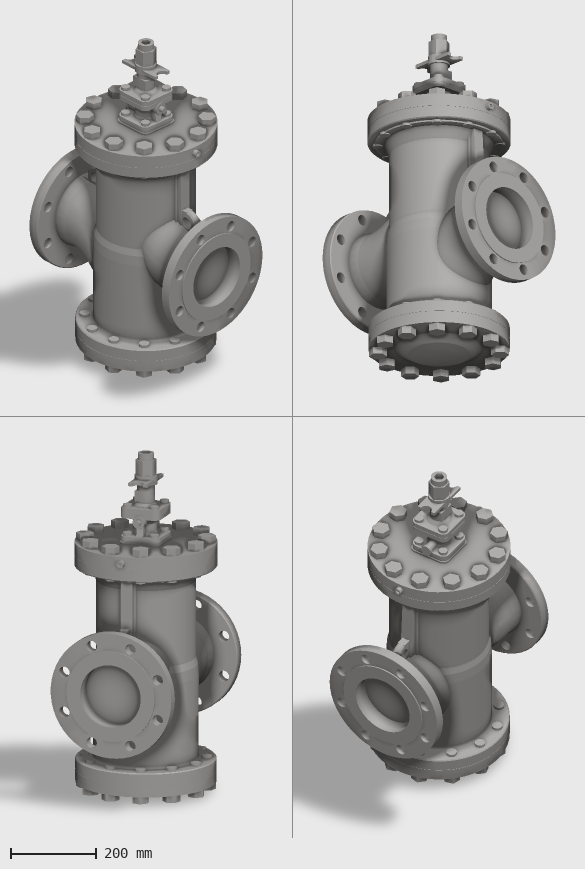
import cadquery as cq
import math

height = 810.0
bottom_cover_z = 22.0
bottom_joint_z = 50.0
bottom_flange_top_z = 79.0
body_wide_top_z = 279.5
body_flare_mid_z = 304.5
body_narrow_z = 321.5
body_neck_z = 506.0
top_flange_low_z = 539.0
top_joint_z = 567.0
top_cover_z = 598.0

wide_radius = 123.0
flare_mid_radius = 121.5
narrow_radius = 117.0
neck_radius = 127.0
top_flange_d = 334.0
bottom_flange_d = 330.0
joint_groove = 1.0
face_d = 300.0
face_height = 4.0
root_fillet = 6.5
rim_chamfer = 2.5
dome_radius = 73.0
dome_edge_z = 8.0
dome_base_radius = 101.0

bolt_count = 12
bolt_circle_radius = 142.5
bolt_head_d = 42.0
bolt_head_height = 17.0
bolt_end_d = 24.0
bolt_end_height = 6.5

nozzle_span = 480.0
nozzle_z = 280.0
nozzle_flange_d = 300.0
nozzle_flange_thickness = 27.0
nozzle_face_d = 218.0
nozzle_face_height = 3.0
bore_d = 150.0
bore_depth = 40.5
nozzle_hole_count = 8
nozzle_hole_circle_radius = 125.5
nozzle_hole_d = 26.0
pipe_radius = 87.5
weld_neck_radius = 92.0
bend_start_x = 181.5
bend_angle = 45.0
left_bend_radius = 131.0
right_bend_radius = 189.5
left_pipe_tail = 57.0
right_pipe_tail = 24.0

rib_width = 27.5
rib_base_width = 37.0
rib_base_x = 121.5
rib_top_x = 133.0
left_rib_low_x = 144.0
rib_low_z = 356.0
lug_radius = 29.0
lug_hole_d = 30.0
lug_thickness = 19.5
lug_chamfer = 4.0
lug_foot_width = 49.0
lug_pad_x = -204.0
lug_pad_top_z = 373.0
lug_pad_height = 12.0
left_lug_x = -162.0
left_lug_z = 383.0
right_lug_x = 148.0
right_lug_z = 390.0

plug_d = 17.0
plug_reach = 177.0
plug_z = 582.0
plug_socket_d = 10.0
plug_socket_depth = 6.5

base_gasket_size = 102.0
base_gasket_top_z = 603.0
plate_size = 97.0
plate_corner = 16.0
base_plate_top_z = 616.5
valve_neck_d = 52.0
valve_cone_low_z = 644.0
valve_cone_high_z = 654.0
valve_cone_d = 67.0
bonnet_low_z = 660.0
bonnet_joint_z = 672.0
bonnet_top_z = 684.5
small_bolt_pitch = 67.0
small_bolt_d = 21.0
small_bolt_height = 7.0
root_cone_d = 58.0
root_cone_height = 7.0
stem_d = 42.0
flat_low_z = 696.0
flat_high_z = 721.0
collar_low_z = 735.5
collar_high_z = 756.5
collar_d = 52.0
handle_low_z = 740.0
handle_thickness = 8.0
handle_length = 112.0
handle_width = 47.0
handle_notch_radius = 14.0
tab_width = 9.0
tab_reach = 27.0
nut_top_z = 795.0
nut_low_z = 760.5
nut_corner_d = 49.5
cap_d = 38.0
cap_socket_d = 24.0
cap_socket_depth = 15.0
drain_z = 621.0
drain_reach = 56.0
drain_d = 21.0
drain_head_d = 27.0
drain_head_length = 7.0
gauge_z = 653.0
gauge_d = 29.0
gauge_reach = 51.0
gauge_pin_d = 14.0
gauge_pin_reach = 63.0
web_low_x = 44.5
web_high_x = 37.0
web_thickness = 16.0


def cylinder_z(diameter, low, high):
    """Upright cylinder on the main axis."""
    return cq.Workplane("XY").workplane(offset=low).circle(diameter / 2).extrude(high - low)


def cone_z(low_d, high_d, low, high):
    """Upright cone frustum on the main axis."""
    base = cq.Workplane("XY").workplane(offset=low).circle(low_d / 2)
    return base.workplane(offset=high - low).circle(high_d / 2).loft()


def cylinder_x(diameter, start, end, z):
    """Cylinder lying along X in the middle plane."""
    plane = cq.Workplane("YZ", origin=(start, 0, z))
    return plane.circle(diameter / 2).extrude(end - start)


def rounded_plate(size, low, high):
    """Square plate with rounded upright corners."""
    plate = cq.Workplane("XY").workplane(offset=low).rect(size, size).extrude(high - low)
    return plate.edges("|Z").fillet(plate_corner)


def bolt_ring(low):
    """Bolt positions of a main flange at one level, straddling the X and Y axes."""
    return (
        cq.Workplane("XY")
        .workplane(offset=low)
        .polarArray(bolt_circle_radius, 180 / bolt_count, 360, bolt_count)
    )


def make_body():
    """Turned body with its flanges, raised top face and domed bottom cover."""
    high_face_z = top_flange_low_z - face_height
    body = (
        cq.Workplane("XZ")
        .moveTo(0, 0)
        .threePointArc((dome_radius / 2, dome_edge_z / 4), (dome_radius, dome_edge_z))
        .lineTo(dome_base_radius, bottom_cover_z)
        .lineTo(bottom_flange_d / 2, bottom_cover_z)
        .lineTo(bottom_flange_d / 2, bottom_flange_top_z - rim_chamfer)
        .lineTo(bottom_flange_d / 2 - rim_chamfer, bottom_flange_top_z)
        .lineTo(wide_radius + root_fillet, bottom_flange_top_z)
        .radiusArc((wide_radius, bottom_flange_top_z + root_fillet), root_fillet)
        .lineTo(wide_radius, body_wide_top_z)
        .lineTo(flare_mid_radius, body_flare_mid_z)
        .lineTo(narrow_radius, body_narrow_z)
        .lineTo(narrow_radius, body_neck_z)
        .lineTo(neck_radius, high_face_z)
        .lineTo(face_d / 2, high_face_z)
        .lineTo(face_d / 2, top_flange_low_z)
        .lineTo(top_flange_d / 2 - rim_chamfer, top_flange_low_z)
        .lineTo(top_flange_d / 2, top_flange_low_z + rim_chamfer)
        .lineTo(top_flange_d / 2, top_cover_z)
        .lineTo(0, top_cover_z)
        .close()
        .revolve(360, (0, 0, 0), (0, 1, 0))
    )
    for joint_z, diameter in ((bottom_joint_z, bottom_flange_d), (top_joint_z, top_flange_d)):
        low = joint_z - joint_groove / 2
        high = joint_z + joint_groove / 2
        groove = cylinder_z(diameter, low, high).cut(cylinder_z(diameter - 2 * joint_groove, low, high))
        body = body.cut(groove)
    return body


def make_bolts():
    """Hexagon heads on both covers and bolt ends inside the flanges."""
    ends_top_z = bottom_flange_top_z + bolt_end_height
    ends_low_z = top_flange_low_z - bolt_end_height
    heads = bolt_ring(top_cover_z).polygon(6, bolt_head_d).extrude(bolt_head_height)
    low_heads = bolt_ring(bottom_cover_z).polygon(6, bolt_head_d).extrude(-bolt_head_height)
    ends = bolt_ring(ends_top_z).circle(bolt_end_d / 2).extrude(-bolt_end_height)
    high_ends = bolt_ring(ends_low_z).circle(bolt_end_d / 2).extrude(bolt_end_height)
    return heads.add(low_heads).add(ends).add(high_ends)


def make_nozzle(side, bend_radius, tail):
    """Flanged pipe that runs inward and bends down (left, side -1) or up (right, side 1)."""
    face_x = nozzle_span / 2
    flange_x = face_x - nozzle_face_height
    back_x = flange_x - nozzle_flange_thickness
    collar = (
        cq.Workplane("XY", origin=(0, 0, nozzle_z))
        .moveTo(side * face_x, 0)
        .lineTo(side * face_x, nozzle_face_d / 2)
        .lineTo(side * flange_x, nozzle_face_d / 2)
        .lineTo(side * flange_x, nozzle_flange_d / 2)
        .lineTo(side * (back_x + rim_chamfer), nozzle_flange_d / 2)
        .lineTo(side * back_x, nozzle_flange_d / 2 - rim_chamfer)
        .lineTo(side * back_x, weld_neck_radius)
        .lineTo(side * bend_start_x, pipe_radius)
        .lineTo(side * bend_start_x, 0)
        .close()
        .revolve(360, (0, 0, 0), (1, 0, 0))
    )
    holes = (
        cq.Workplane("YZ", origin=(side * face_x, 0, nozzle_z))
        .polarArray(nozzle_hole_circle_radius, 180 / nozzle_hole_count, 360, nozzle_hole_count)
        .circle(nozzle_hole_d / 2)
        .extrude(side * (back_x - face_x))
    )
    bore = cylinder_x(bore_d, side * face_x, side * (face_x - bore_depth), nozzle_z)

    def bend_point(angle):
        turn = math.radians(angle)
        x = side * (bend_start_x - bend_radius * math.sin(turn))
        z = nozzle_z + side * bend_radius * (1 - math.cos(turn))
        return x, z

    end_x, end_z = bend_point(bend_angle)
    tail_x = end_x - side * tail * math.cos(math.radians(bend_angle))
    tail_z = end_z + side * tail * math.sin(math.radians(bend_angle))
    path = (
        cq.Workplane("XZ")
        .moveTo(side * bend_start_x, nozzle_z)
        .threePointArc(bend_point(bend_angle / 2), (end_x, end_z))
        .lineTo(tail_x, tail_z)
    )
    pipe = (
        cq.Workplane("YZ", origin=(side * bend_start_x, 0, nozzle_z))
        .circle(pipe_radius)
        .sweep(path)
    )
    return collar.cut(holes).cut(bore).union(pipe)


def make_rib(side, low_x):
    """Stepped stiffening rib between the top flange and a nozzle."""
    face = (
        cq.Workplane("XZ")
        .moveTo(0, rib_low_z)
        .lineTo(side * low_x, rib_low_z)
        .lineTo(side * rib_top_x, top_flange_low_z)
        .lineTo(0, top_flange_low_z)
        .close()
        .extrude(rib_width / 2, both=True)
    )
    base = (
        cq.Workplane("XY")
        .workplane(offset=rib_low_z)
        .center(side * rib_base_x / 2, 0)
        .rect(rib_base_x, rib_base_width)
        .extrude(top_flange_low_z - rib_low_z)
    )
    return face.union(base)


def make_lug(x, z):
    """Lifting eye standing on a nozzle and touching the rib."""
    plane = cq.Workplane("XZ", origin=(x, 0, z))
    half = lug_thickness / 2
    eye = plane.circle(lug_radius).extrude(half, both=True).edges().chamfer(lug_chamfer)
    foot = plane.center(0, -lug_radius / 2).rect(lug_foot_width, lug_radius).extrude(half, both=True)
    web_length = abs(x) - narrow_radius
    web_x = -math.copysign(web_length / 2, x)
    web = plane.center(web_x, 0).rect(web_length, 2 * lug_radius).extrude(half, both=True)
    hole = plane.circle(lug_hole_d / 2).extrude(half, both=True)
    return eye.union(foot).union(web).cut(hole)


def make_lug_pad():
    """Low pad that carries the left lifting eye out along the nozzle."""
    pad_length = left_lug_x - lug_pad_x
    pad_center_x = (left_lug_x + lug_pad_x) / 2
    return (
        cq.Workplane("XY", origin=(pad_center_x, 0, lug_pad_top_z))
        .rect(pad_length, lug_thickness)
        .extrude(-lug_pad_height)
    )


def make_plug(side):
    """Socket-head plug on the rim of the top cover."""
    plug = cylinder_x(plug_d, 0, side * plug_reach, plug_z)
    socket = (
        cq.Workplane("YZ", origin=(side * plug_reach, 0, plug_z))
        .polygon(6, plug_socket_d)
        .extrude(-side * plug_socket_depth)
    )
    return plug.cut(socket)


def make_valve():
    """Square-flanged valve with a bonnet, side fittings, stem, handle plate and nut."""
    valve = rounded_plate(base_gasket_size, top_cover_z, base_gasket_top_z)
    valve = valve.union(rounded_plate(plate_size, base_gasket_top_z, base_plate_top_z))
    valve = valve.union(cylinder_z(valve_neck_d, base_plate_top_z, valve_cone_low_z))
    valve = valve.union(cone_z(valve_neck_d, valve_cone_d, valve_cone_low_z, valve_cone_high_z))
    valve = valve.union(cylinder_z(valve_cone_d, valve_cone_high_z, bonnet_low_z))
    half_groove = joint_groove / 2
    valve = valve.union(rounded_plate(plate_size, bonnet_low_z, bonnet_joint_z - half_groove))
    joint_size = plate_size - 2 * joint_groove
    valve = valve.union(rounded_plate(joint_size, bonnet_joint_z - half_groove, bonnet_joint_z + half_groove))
    valve = valve.union(rounded_plate(plate_size, bonnet_joint_z + half_groove, bonnet_top_z))
    for level, shaft_d in ((base_plate_top_z, valve_neck_d), (bonnet_top_z, stem_d)):
        heads = (
            cq.Workplane("XY")
            .workplane(offset=level)
            .rect(small_bolt_pitch, small_bolt_pitch, forConstruction=True)
            .vertices()
            .circle(small_bolt_d / 2)
            .extrude(small_bolt_height)
        )
        root = cone_z(root_cone_d, shaft_d, level, level + root_cone_height)
        valve = valve.union(heads).union(root)
    return valve.union(make_side_fittings()).union(make_stem())


def make_side_fittings():
    """Drain plug low on the left, gauge pin high on the right and the web under it."""
    drain = cylinder_x(drain_d, 0, -drain_reach, drain_z)
    drain_head = cylinder_x(drain_head_d, drain_head_length - drain_reach, -drain_reach, drain_z)
    gauge = cylinder_x(gauge_d, 0, gauge_reach, gauge_z)
    gauge_pin = cylinder_x(gauge_pin_d, 0, gauge_pin_reach, gauge_z)
    web = (
        cq.Workplane("XZ")
        .moveTo(0, base_plate_top_z)
        .lineTo(web_low_x, base_plate_top_z)
        .lineTo(web_high_x, gauge_z)
        .lineTo(0, gauge_z)
        .close()
        .extrude(web_thickness / 2, both=True)
    )
    return drain.union(drain_head).union(gauge).union(gauge_pin).union(web)


def make_stem():
    """Stem with a front wrench block, tabbed collar, notched handle plate, hexagon nut and cap."""
    stem = cylinder_z(stem_d, bonnet_top_z, nut_low_z)
    block_depth = stem_d / 2
    block = (
        cq.Workplane("XY")
        .workplane(offset=flat_low_z)
        .center(0, -block_depth / 2)
        .rect(stem_d, block_depth)
        .extrude(flat_high_z - flat_low_z)
    )
    handle = (
        cq.Workplane("XY")
        .workplane(offset=handle_low_z)
        .rect(handle_length, handle_width)
        .extrude(handle_thickness)
    )
    notches = (
        cq.Workplane("XY")
        .workplane(offset=handle_low_z)
        .pushPoints([(-handle_length / 2, 0), (handle_length / 2, 0)])
        .circle(handle_notch_radius)
        .extrude(handle_thickness)
    )
    collar = cylinder_z(collar_d, collar_low_z, collar_high_z)
    tab = (
        cq.Workplane("XY")
        .workplane(offset=collar_low_z)
        .rect(tab_width, 2 * tab_reach)
        .extrude(collar_high_z - collar_low_z)
    )
    nut = (
        cq.Workplane("XY")
        .workplane(offset=collar_high_z)
        .polygon(6, nut_corner_d)
        .extrude(nut_top_z - collar_high_z)
    )
    cap = cylinder_z(cap_d, nut_top_z, height)
    socket = (
        cq.Workplane("XY")
        .workplane(offset=height)
        .polygon(6, cap_socket_d)
        .extrude(-cap_socket_depth)
    )
    stem = stem.union(block).union(handle.cut(notches))
    return stem.union(collar).union(tab).union(nut).union(cap).cut(socket)


result = make_body()
result = result.union(make_rib(-1, left_rib_low_x)).union(make_rib(1, rib_top_x))
result = result.union(make_lug(left_lug_x, left_lug_z)).union(make_lug(right_lug_x, right_lug_z))
result = result.union(make_lug_pad())
result = result.union(make_nozzle(-1, left_bend_radius, left_pipe_tail))
result = result.union(make_nozzle(1, right_bend_radius, right_pipe_tail))
for bolt in make_bolts().vals():
    result = result.union(cq.Workplane(bolt))
for plug_side in (-1, 1):
    result = result.union(make_plug(plug_side))
result = result.union(make_valve())